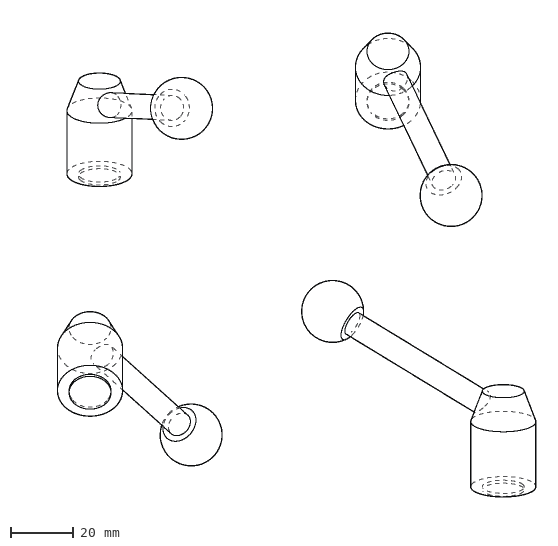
import cadquery as cq
import math

hub_diameter = 21.0
foot_diameter = 13.5
foot_height = 1.0
cylinder_height = 22.1
top_diameter = 13.5

lever_angle = 20.0
rod_diameter = 8.0
ball_diameter = 20.0
ball_reach = 65.0
ball_height = 48.85
ball_flat_diameter = 12.0

hub_radius = hub_diameter / 2
foot_radius = foot_diameter / 2
top_radius = top_diameter / 2
ball_radius = ball_diameter / 2
slope = math.tan(math.radians(lever_angle))
shoulder_z = foot_height + cylinder_height
top_z = shoulder_z + (hub_radius - top_radius) / slope
rod_length = ball_reach / math.cos(math.radians(lever_angle))
rod_start_z = ball_height - ball_reach * slope
ball_flat_distance = math.sqrt(ball_radius**2 - (ball_flat_diameter / 2) ** 2)


def make_hub():
    """Foot, cylinder and cone, turned about Z."""
    profile = [
        (0, 0),
        (foot_radius, 0),
        (foot_radius, foot_height),
        (hub_radius, foot_height),
        (hub_radius, shoulder_z),
        (top_radius, top_z),
        (0, top_z),
    ]
    return cq.Workplane("XZ").polyline(profile).close().revolve(360, (0, 0), (0, 1))


def make_lever():
    """Rod and flat-faced ball, turned about X and then tilted up from the hub axis."""
    rod = cq.Workplane("YZ").circle(rod_diameter / 2).extrude(rod_length)
    flat_x = rod_length - ball_flat_distance
    ball = (
        cq.Workplane("XY")
        .moveTo(flat_x, 0)
        .lineTo(flat_x, ball_flat_diameter / 2)
        .threePointArc((rod_length, ball_radius), (rod_length + ball_radius, 0))
        .close()
        .revolve(360, (0, 0), (1, 0))
    )
    lever = rod.union(ball)
    return lever.rotate((0, 0, 0), (0, 1, 0), -lever_angle).translate((0, 0, rod_start_z))


result = make_hub().union(make_lever())